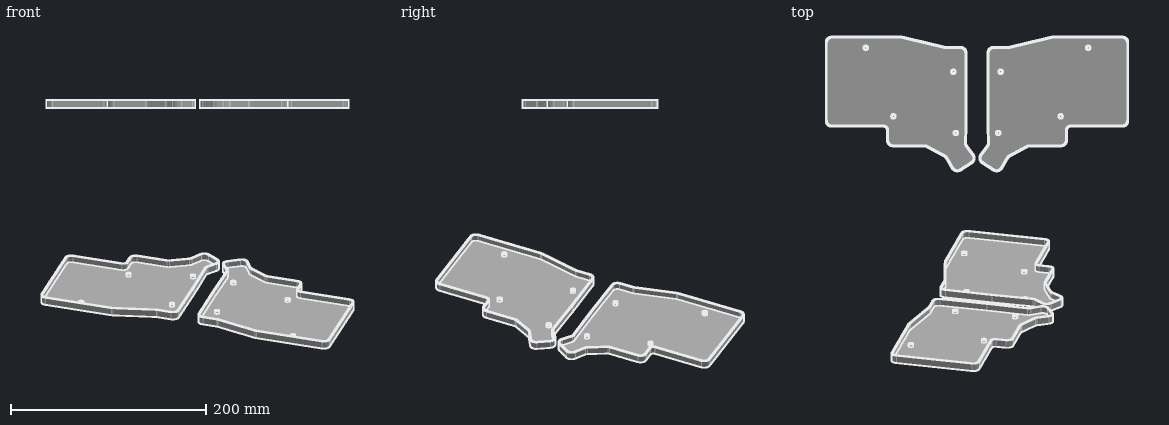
import cadquery as cq
tray_height = 8.5
floor_thickness = 1.12
wall_thickness = 1.5
inner_corner_radius = 5.0

post_diameter = 5.0
post_hole_diameter = 2.9
post_height = 2.5
post_centres = [(-114.0, 57.5), (-24.2, 33.0), (-85.7, -12.7), (-21.7, -29.8)]

half_span = 155.3
cavity_left = wall_thickness - half_span
cavity_back = 67.7
cavity_back_step = 57.2
cavity_front = -22.0
cavity_front_step = -42.3
step_left = -91.0

cavity_corners = [
    (cavity_left, cavity_back),
    (-77.5, cavity_back),
    (-33.0, cavity_back_step),
    (-12.0, cavity_back_step),
    (-11.8, 2.8),
    (-12.5, -42.3),
    (-1.5, -57.0),
    (-21.7, -70.0),
    (-31.7, -53.5),
    (-52.5, cavity_front_step),
    (step_left, cavity_front_step),
    (step_left, cavity_front),
    (cavity_left, cavity_front),
]


def make_cavity():
    """Rounded block of space inside the walls, from the floor to the rim."""
    block = (
        cq.Workplane("XY", origin=(0, 0, floor_thickness))
        .polyline(cavity_corners)
        .close()
        .extrude(tray_height - floor_thickness)
    )
    return block.edges("|Z").fillet(inner_corner_radius)


def make_outer_block(cavity):
    """Solid block one wall thickness larger than the cavity all round."""
    cavity_outline = cavity.faces("<Z").wires().val()
    outer_outline = cavity_outline.offset2D(wall_thickness)[0]
    block = cq.Workplane("XY").add(outer_outline).toPending().extrude(tray_height)
    return block.translate((0, 0, -floor_thickness))


def make_left_tray():
    """Open tray with a wall all round and four hollow posts drilled through the floor."""
    cavity = make_cavity()
    tray = make_outer_block(cavity).cut(cavity)
    posts = (
        cq.Workplane("XY")
        .pushPoints(post_centres)
        .circle(post_diameter / 2)
        .extrude(floor_thickness + post_height)
    )
    post_holes = (
        cq.Workplane("XY")
        .pushPoints(post_centres)
        .circle(post_hole_diameter / 2)
        .extrude(floor_thickness + post_height)
    )
    return tray.union(posts).cut(post_holes)


left_tray = make_left_tray()
right_tray = left_tray.mirror("YZ")

result = cq.Compound.makeCompound([left_tray.val(), right_tray.val()])